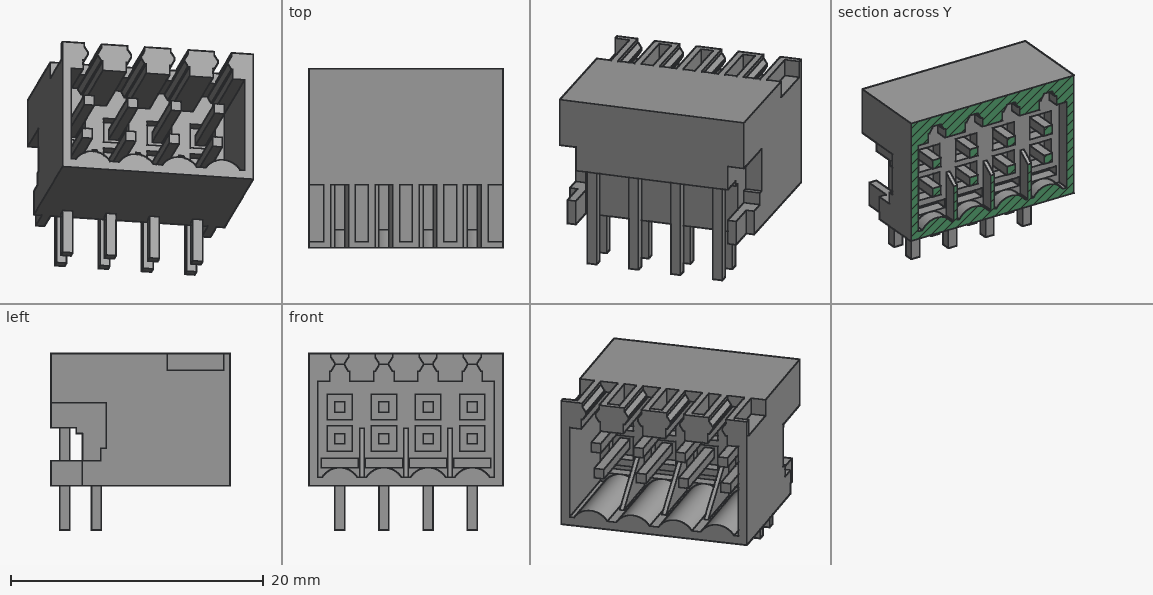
import cadquery as cq


POLES = 4
PITCH = 3.5
ROW_PITCH = 2.5
PIN_SIZE = 0.8
PIN_DROP = 3.5
LOWER_ROW_Z = 3.75
UPPER_ROW_Z = LOWER_ROW_Z + ROW_PITCH
LOWER_ROW_TAIL_Y = 10.6
UPPER_ROW_TAIL_Y = LOWER_ROW_TAIL_Y + ROW_PITCH
LOWER_ROW_TIP_Y = 2.25
UPPER_ROW_TIP_Y = 1.45

WALL = 0.7
CAVITY_WIDTH = POLES * PITCH
WIDTH = CAVITY_WIDTH + 2 * WALL
DEPTH = 14.2
HEIGHT = 10.5
CAVITY_DEPTH = 8.2
CAVITY_TOP = 8.3

KEY_HEIGHT = 0.75
KEY_RADIUS = 1.65
KEY_TOP = WALL + KEY_HEIGHT

RIB_THICKNESS = 0.35
RIB_FRONT_Y = 2.65
RIB_TOP = 4.55

RECESS_DEPTH = 1.0
PIN_RECESS = 2.0
STRIP_WIDTH = 2.95
STRIP_TOP = 2.2

SLOT_LENGTH = 5.0
SLOT_HALF_MOUTH = 0.7
SLOT_HALF_WAIST = 0.4
SLOT_HALF_FOOT = 0.67
SLOT_MOUTH_Z = 10.2
WAIST_TOP_Z = 9.75
WAIST_STEP_Z = 9.62
WAIST_BOTTOM_Z = 9.55
NOTCH_HALF_WIDTH = 0.8
NOTCH_TOP = 9.1

POCKET_DEPTH = 1.35
POCKET_FRONT_Y = 0.5
POCKET_WIDTH = 1.0
END_POCKET_WIDTH = 1.2

REAR_FACE_Y = 11.7
REAR_STEP_Y = 12.2
REAR_CUT_TOP = 4.6
REAR_STEP_Z = 4.15
SIDE_RECESS_DEPTH = 1.35
SIDE_RECESS_Y = 9.8
SIDE_RECESS_LOW_Y = 10.25
SIDE_RECESS_TOP = 6.6
SIDE_RECESS_STEP_Z = 3.0
LEG_HEIGHT = 2.0
LEG_INSET = 0.65

POLE_X = [(i - (POLES - 1) / 2) * PITCH for i in range(POLES)]
GAP_X = [(i - (POLES - 2) / 2) * PITCH for i in range(POLES - 1)]


def block(x_range, y_range, z_range):
    """Axis-aligned box between the given limits."""
    size = [end - start for start, end in (x_range, y_range, z_range)]
    corner = (x_range[0], y_range[0], z_range[0])
    return cq.Workplane("XY").box(*size, centered=False).translate(corner)


def around(center, size):
    """Limits of a span of the given size about a center."""
    return (center - size / 2, center + size / 2)


def side_profile(points, x_range):
    """Prism with a (Y, Z) outline running along X."""
    length = x_range[1] - x_range[0]
    return cq.Workplane("YZ").workplane(offset=x_range[0]).polyline(points).close().extrude(length)


def front_profile(points, y_end):
    """Prism with an (X, Z) outline running from the mating face back to y_end."""
    return cq.Workplane("XZ").polyline(points).close().extrude(-y_end)


def mating_cavity():
    cavity = block(around(0, CAVITY_WIDTH), (0, CAVITY_DEPTH), (WALL, CAVITY_TOP))
    key_axis_z = KEY_TOP - KEY_RADIUS
    for x in POLE_X:
        key = cq.Workplane("XZ").center(x, key_axis_z).circle(KEY_RADIUS).extrude(-CAVITY_DEPTH)
        cavity = cavity.cut(key)
    rib_outline = [(RIB_FRONT_Y, WALL), (CAVITY_DEPTH, RIB_TOP), (CAVITY_DEPTH, WALL)]
    for x in GAP_X:
        cavity = cavity.cut(side_profile(rib_outline, around(x, RIB_THICKNESS)))
    return cavity


def rear_wall_recesses(x):
    """Square recesses around both pins of a pole and the strip recess between pins and key."""
    y_range = (CAVITY_DEPTH, CAVITY_DEPTH + RECESS_DEPTH)
    recesses = block(around(x, STRIP_WIDTH), y_range, (KEY_TOP, STRIP_TOP))
    for z in (LOWER_ROW_Z, UPPER_ROW_Z):
        recesses = recesses.union(block(around(x, PIN_RECESS), y_range, around(z, PIN_RECESS)))
    return recesses


def mirrored(x, right_half):
    """Outline symmetric about x from its (half width, Z) points."""
    right = [(x + half, z) for half, z in right_half]
    left = [(x - half, z) for half, z in reversed(right_half)]
    return right + left


def latch_slot(x):
    upper = front_profile(mirrored(x, [
        (SLOT_HALF_MOUTH, HEIGHT),
        (SLOT_HALF_MOUTH, SLOT_MOUTH_Z),
        (SLOT_HALF_WAIST, WAIST_TOP_Z),
        (SLOT_HALF_WAIST, WAIST_STEP_Z),
    ]), SLOT_LENGTH)
    lower = front_profile(mirrored(x, [
        (SLOT_HALF_WAIST, WAIST_STEP_Z),
        (SLOT_HALF_WAIST, WAIST_BOTTOM_Z),
        (SLOT_HALF_FOOT, NOTCH_TOP),
        (NOTCH_HALF_WIDTH, NOTCH_TOP),
        (NOTCH_HALF_WIDTH, CAVITY_TOP),
    ]), CAVITY_DEPTH)
    return upper.union(lower)


def top_pockets():
    y_range = (POCKET_FRONT_Y, SLOT_LENGTH)
    z_range = (HEIGHT - POCKET_DEPTH, HEIGHT)
    end = WIDTH / 2
    pockets = block((-end, -end + END_POCKET_WIDTH), y_range, z_range)
    pockets = pockets.union(block((end - END_POCKET_WIDTH, end), y_range, z_range))
    for x in GAP_X:
        pockets = pockets.union(block(around(x, POCKET_WIDTH), y_range, z_range))
    return pockets


def rear_cutout():
    """Open space behind the lower part of the housing, over the full width."""
    outline = [
        (REAR_FACE_Y, 0),
        (REAR_FACE_Y, REAR_STEP_Z),
        (REAR_STEP_Y, REAR_STEP_Z),
        (REAR_STEP_Y, REAR_CUT_TOP),
        (DEPTH, REAR_CUT_TOP),
        (DEPTH, 0),
    ]
    return side_profile(outline, around(0, WIDTH))


def side_recess(x_range):
    outline = [
        (DEPTH, SIDE_RECESS_TOP),
        (SIDE_RECESS_Y, SIDE_RECESS_TOP),
        (SIDE_RECESS_Y, SIDE_RECESS_STEP_Z),
        (SIDE_RECESS_LOW_Y, SIDE_RECESS_STEP_Z),
        (SIDE_RECESS_LOW_Y, LEG_HEIGHT),
        (DEPTH, LEG_HEIGHT),
    ]
    return side_profile(outline, x_range)


def pin(x, row_z, tip_y, tail_y):
    """Square pin bent down at a right angle."""
    tail_end_y = tail_y + PIN_SIZE / 2
    contact = block(around(x, PIN_SIZE), (tip_y, tail_end_y), around(row_z, PIN_SIZE))
    tail = block(around(x, PIN_SIZE), around(tail_y, PIN_SIZE), (-PIN_DROP, row_z))
    return contact.union(tail)


result = block(around(0, WIDTH), (0, DEPTH), (0, HEIGHT))
result = result.cut(mating_cavity()).cut(top_pockets()).cut(rear_cutout())
for pole_x in POLE_X:
    result = result.cut(latch_slot(pole_x)).cut(rear_wall_recesses(pole_x))

for side in (-1, 1):
    outer, inner, leg_outer = [side * (WIDTH / 2 - inset) for inset in (0, SIDE_RECESS_DEPTH, LEG_INSET)]
    result = result.cut(side_recess(sorted((outer, inner))))
    leg = block(sorted((leg_outer, inner)), (REAR_FACE_Y, DEPTH), (0, LEG_HEIGHT))
    result = result.union(leg)

for pole_x in POLE_X:
    result = result.union(pin(pole_x, LOWER_ROW_Z, LOWER_ROW_TIP_Y, LOWER_ROW_TAIL_Y))
    result = result.union(pin(pole_x, UPPER_ROW_Z, UPPER_ROW_TIP_Y, UPPER_ROW_TAIL_Y))